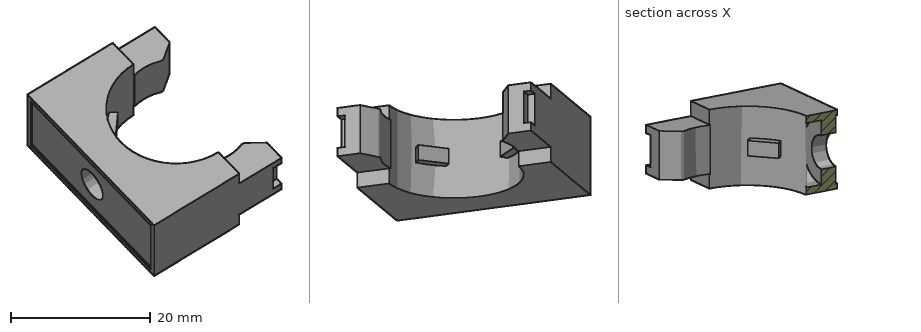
import cadquery as cq
import math

width = 29.97
length = 23.11
body_height = 11.94

body_length = 15.45
cradle_radius = 10.033

arm_height = 7.366
arm_end_width = 3.5
arm_hollow_radius = 7.62
arm_hollow_center_y = 17.3
arm_tip_y = 20.3
arm_tip_round = 0.8

notch_length = 1.55
notch_height = 4.826
notch_depth = 1.143

face_border = 0.813
recess_depth = 0.254

hole_diameter = 5.08
hole_end_y = 2.794
chamber_diameter = 9.652
chamber_end_y = 5.207

pad_length = 4.64
pad_height = 2.286
pad_face_radius = 8.57
pad_angle = 48.3
pad_embed = 0.8


def make_body():
    block = cq.Workplane("XY").box(width, body_length, body_height).translate((0, body_length / 2, 0))
    cradle = (
        cq.Workplane("XY", origin=(0, body_length, -body_height / 2))
        .circle(cradle_radius)
        .extrude(body_height)
    )
    return block.cut(cradle)


def make_left_arm():
    outer_x = -width / 2
    hollow_center_x = arm_hollow_radius - cradle_radius

    def hollow_point(y):
        offset = y - arm_hollow_center_y
        return (hollow_center_x - math.sqrt(arm_hollow_radius**2 - offset**2), y)

    arm = (
        cq.Workplane("XY", origin=(0, 0, -arm_height / 2))
        .moveTo(outer_x, body_length)
        .lineTo(*hollow_point(body_length))
        .threePointArc(hollow_point(arm_hollow_center_y), hollow_point(arm_tip_y))
        .lineTo(outer_x + arm_end_width, length)
        .lineTo(outer_x, length)
        .close()
        .extrude(arm_height)
    )
    tip_x = hollow_point(arm_tip_y)[0]
    tip_edge = cq.selectors.NearestToPointSelector((tip_x, arm_tip_y, 0))
    arm = arm.edges("|Z").edges(tip_edge).fillet(arm_tip_round)
    notch = (
        cq.Workplane("XY")
        .box(2 * notch_depth, 2 * notch_length, notch_height)
        .translate((outer_x, length, 0))
    )
    return arm.cut(notch)


def make_left_pad():
    radial_size = cradle_radius + pad_embed - pad_face_radius
    return (
        cq.Workplane("XY")
        .box(radial_size, pad_length, pad_height)
        .translate((pad_face_radius + radial_size / 2, 0, 0))
        .rotate((0, 0, 0), (0, 0, 1), 180 + pad_angle)
        .translate((0, body_length, 0))
    )


def make_recess():
    return (
        cq.Workplane("XY")
        .box(width - 2 * face_border, recess_depth, body_height - 2 * face_border)
        .translate((0, recess_depth / 2, 0))
    )


def make_bore(diameter, start_y, end_y):
    return (
        cq.Workplane("XZ", origin=(0, start_y, 0))
        .circle(diameter / 2)
        .extrude(start_y - end_y)
    )


result = make_body()
for left_feature in (make_left_arm(), make_left_pad()):
    result = result.union(left_feature).union(left_feature.mirror("YZ"))
result = (
    result.cut(make_recess())
    .cut(make_bore(hole_diameter, 0, hole_end_y))
    .cut(make_bore(chamber_diameter, hole_end_y, chamber_end_y))
)